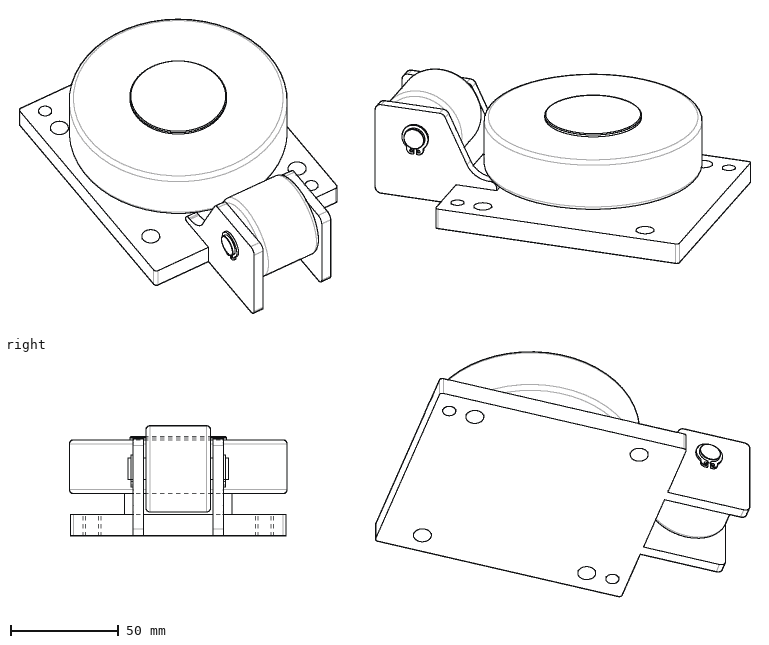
import cadquery as cq
import math

plate_length = 120
plate_width = 100.0
plate_thickness = 10.0
plate_corner = 1.5
bolt_diameter = 8.3
bolt_spacing = 80
dowel_diameter = 6.0
dowel_x = 52.5

hub_diameter = 50.0
wheel_diameter = 101.1
wheel_bottom = 19.5
wheel_width = 25.0
rim_fillet = 2.0
cap_diameter = 45.0
cap_height = 1.5
cap_chamfer = 0.5

roller_x = 80
roller_z = 31.0
roller_diameter = 40
roller_width = 30.0

fork_gap = 32
fork_thickness = 5.0
fork_start = 40
fork_root = 55.0
fork_end = roller_x + roller_diameter / 2
fork_top = 45.0
fork_corner_fillet = 3.0
foot_top = 14.0
throat_fillet = 12.0
slope_angle = 64.3
slope_top_x = 66.2

pin_diameter = 10.0
pin_length = 46.7
pin_chamfer = 0.2
ring_diameter = 12.8
ring_thickness = 1.0
ring_gap = 1.5
lug_reach = 8.3
lug_span = 8.2
lug_corner_fillet = 2.4
lug_hole_diameter = 1.5
lug_hole_offset = 1.8
lug_hole_drop = 6.7

selection_margin = 0.2

fork_outer = fork_gap / 2 + fork_thickness


def cylinder_along_y(diameter, length, x, z):
    """Cylinder centred on the XZ plane with its axis along Y."""
    return cq.Workplane("XZ", origin=(x, length / 2, z)).circle(diameter / 2).extrude(length)


def base_plate():
    plate = (
        cq.Workplane("XY")
        .rect(plate_length, plate_width)
        .extrude(plate_thickness)
        .edges("|Z")
        .fillet(plate_corner)
    )
    bolts = (
        cq.Workplane("XY")
        .rect(bolt_spacing, bolt_spacing, forConstruction=True)
        .vertices()
        .circle(bolt_diameter / 2)
        .extrude(plate_thickness)
    )
    dowels = (
        cq.Workplane("XY")
        .pushPoints([(dowel_x, bolt_spacing / 2), (-dowel_x, -bolt_spacing / 2)])
        .circle(dowel_diameter / 2)
        .extrude(plate_thickness)
    )
    return plate.cut(bolts).cut(dowels)


def main_wheel():
    hub_height = wheel_bottom - plate_thickness
    hub = (
        cq.Workplane("XY")
        .workplane(offset=plate_thickness)
        .circle(hub_diameter / 2)
        .extrude(hub_height)
    )
    wheel = (
        cq.Workplane("XY")
        .workplane(offset=wheel_bottom)
        .circle(wheel_diameter / 2)
        .extrude(wheel_width)
        .edges()
        .fillet(rim_fillet)
    )
    cap = (
        cq.Workplane("XY")
        .workplane(offset=wheel_bottom + wheel_width)
        .circle(cap_diameter / 2)
        .extrude(cap_height)
        .faces(">Z")
        .edges()
        .chamfer(cap_chamfer)
    )
    return hub.union(wheel).union(cap)


def fork_plate():
    """Fork plate on the -Y side: low foot, concave throat, sloped front edge."""
    slope_run = (fork_top - foot_top) / math.tan(math.radians(slope_angle))
    throat_x = slope_top_x - slope_run
    outline = [
        (fork_start, plate_thickness),
        (fork_start, foot_top),
        (throat_x, foot_top),
        (slope_top_x, fork_top),
        (fork_end, fork_top),
        (fork_end, 0),
        (fork_root, 0),
        (fork_root, plate_thickness),
    ]
    fork = cq.Workplane("XZ", origin=(0, -fork_gap / 2, 0)).polyline(outline).close().extrude(fork_thickness)

    def corner(x, z):
        reach = selection_margin
        inner_y = -fork_gap / 2
        return cq.selectors.BoxSelector(
            (x - reach, -fork_outer - reach, z - reach),
            (x + reach, inner_y + reach, z + reach),
        )

    fork = fork.edges(corner(throat_x, foot_top)).fillet(throat_fillet)
    for x, z in [(fork_start, foot_top), (slope_top_x, fork_top), (fork_end, fork_top), (fork_end, 0)]:
        fork = fork.edges(corner(x, z)).fillet(fork_corner_fillet)
    return fork


def retaining_ring():
    """Retaining ring against the -Y fork plate, open at the bottom between two pierced lugs."""
    plane = cq.Workplane("XZ", origin=(roller_x, -fork_outer, roller_z))
    lug_block = (
        plane.center(0, -lug_reach / 2)
        .rect(lug_span, lug_reach)
        .extrude(ring_thickness)
        .edges("|Y and <Z")
        .fillet(lug_corner_fillet)
    )
    lug_holes = (
        plane.pushPoints([(-lug_hole_offset, -lug_hole_drop), (lug_hole_offset, -lug_hole_drop)])
        .circle(lug_hole_diameter / 2)
        .extrude(ring_thickness)
    )
    gap = plane.center(0, -lug_reach / 2).rect(ring_gap, lug_reach).extrude(ring_thickness)
    ring = plane.circle(ring_diameter / 2).extrude(ring_thickness)
    return ring.union(lug_block).cut(lug_holes).cut(gap)


def roller():
    return cylinder_along_y(roller_diameter, roller_width, roller_x, roller_z).edges().fillet(rim_fillet)


def roller_pin():
    return cylinder_along_y(pin_diameter, pin_length, roller_x, roller_z).edges("%CIRCLE").chamfer(pin_chamfer)


result = base_plate().union(main_wheel()).union(roller()).union(roller_pin())
for side_part in (fork_plate(), retaining_ring()):
    result = result.union(side_part).union(side_part.mirror("XZ"))